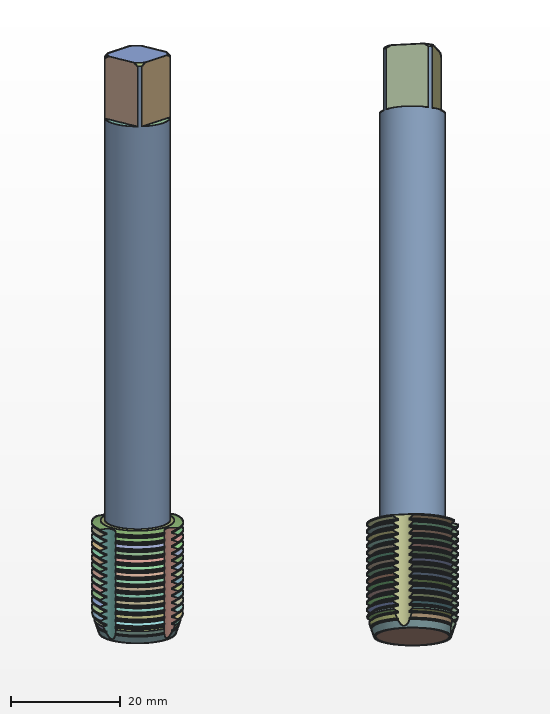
import cadquery as cq

total_length = 110.0
shank_diameter = 12.0
shank_radius = shank_diameter / 2
square_side = 9.0
square_length = 12.0
corner_chamfer = 0.5

thread_diameter = 16.7
thread_radius = thread_diameter / 2
core_radius = 6.7
head_top = 21.5
thread_top = 21.0
taper_radius = 7.0
taper_length = 3.8

groove_count = 15
groove_depth = 0.9
groove_root = 0.2
crest_width = 0.2
lowest_groove = 1.5
highest_groove = 20.2
pitch = (highest_groove - lowest_groove) / (groove_count - 1)

flute_count = 4
flute_radius = 2.2
flute_floor = 7.2

cone_slope = (head_top - thread_top) / (thread_radius - shank_radius)
core_top = head_top - cone_slope * (core_radius - shank_radius)


def turned(points):
    """Solid of revolution about Z from (radius, height) points."""
    return cq.Workplane("XZ").polyline(points).close().revolve(360, (0, 0, 0), (0, 1, 0))


def make_shank():
    """Core, round shank and driving square in one piece."""
    shank = turned([
        (0, 0),
        (core_radius, 0),
        (core_radius, core_top),
        (shank_radius, head_top),
        (shank_radius, total_length - corner_chamfer),
        (shank_radius - corner_chamfer, total_length),
        (0, total_length),
    ])
    square_start = total_length - square_length
    around_square = (
        cq.Workplane("XY", origin=(0, 0, square_start))
        .circle(shank_diameter)
        .rect(square_side, square_side)
        .extrude(square_length)
    )
    return shank.cut(around_square)


def make_groove(height):
    """Ring with a trapezoid section that cuts one thread groove."""
    root_radius = thread_radius - groove_depth
    root_half = groove_root / 2
    mouth_half = (pitch - crest_width) / 2
    return turned([
        (root_radius, height - root_half),
        (thread_radius, height - mouth_half),
        (thread_radius, height + mouth_half),
        (root_radius, height + root_half),
    ])


def make_thread_ring():
    """Fluted ring with thread grooves and a lead taper, fitted around the core."""
    ring = turned([
        (core_radius, 0),
        (taper_radius, 0),
        (thread_radius, taper_length),
        (thread_radius, thread_top),
        (core_radius, core_top),
    ])
    for i in range(groove_count):
        ring = ring.cut(make_groove(lowest_groove + i * pitch))
    flutes = (
        cq.Workplane("XY")
        .polarArray(flute_floor + flute_radius, 0, 360, flute_count)
        .circle(flute_radius)
        .extrude(head_top)
    )
    return ring.cut(flutes)


shank = make_shank()
thread_ring = make_thread_ring()
result = cq.Compound.makeCompound([shank.val(), thread_ring.val()])